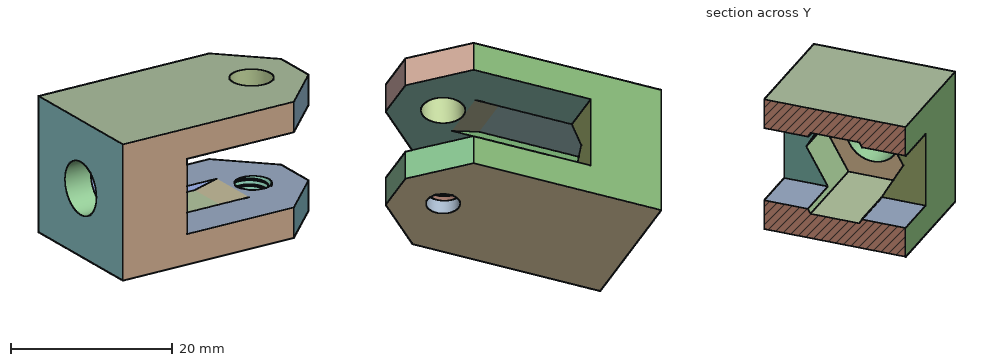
import cadquery as cq
import math

width = 19.05
length = 31.85
height = 18.28
corner_cut = 6.43
arm_thickness = 4.1
base_length = 9.55
slot_height = height - 2 * arm_thickness

bore_diameter = 7.1
hex_across_flats = 11.3
hex_start = 3.82
hex_end = 19.1
taper_end = 22.65

pin_y = length - corner_cut
clearance_diameter = 5.5
thread_minor_diameter = 4.25
thread_major_diameter = 5.13
thread_pitch = 0.8
turns_in_arm = 3
turns_above_arm = 1
groove_half_width = 0.46 * thread_pitch
thread_overlap = 0.048


def fork_body():
    """Block with two cut corners at the open end and a slot across X."""
    block = cq.Workplane("XY").box(width, length, height, centered=(True, False, True))
    block = block.faces(">Y").edges("|Z").chamfer(corner_cut)
    slot = (
        cq.Workplane("XY")
        .box(width, length - base_length, slot_height, centered=(True, False, True))
        .translate((0, base_length, 0))
    )
    return block.cut(slot)


def shank_bore():
    return cq.Workplane("XZ").circle(bore_diameter / 2).extrude(-base_length)


def hex_cavity():
    """Hexagonal prism along Y, with its top and bottom sloping into the slot at the far end."""
    across_corners = hex_across_flats / math.cos(math.pi / 6)
    prism = (
        cq.Workplane("XZ", origin=(0, hex_start, 0))
        .polygon(6, across_corners)
        .extrude(hex_start - taper_end)
    )
    side_profile = (
        cq.Workplane("YZ")
        .polyline([
            (hex_start, -hex_across_flats / 2),
            (hex_end, -hex_across_flats / 2),
            (taper_end, -slot_height / 2),
            (taper_end, slot_height / 2),
            (hex_end, hex_across_flats / 2),
            (hex_start, hex_across_flats / 2),
        ])
        .close()
        .extrude(across_corners / 2, both=True)
    )
    return prism.intersect(side_profile)


def clearance_hole():
    return (
        cq.Workplane("XY", origin=(0, pin_y, 0))
        .circle(clearance_diameter / 2)
        .extrude(height / 2)
    )


def tap_drill_hole():
    return (
        cq.Workplane("XY", origin=(0, pin_y, -height / 2))
        .circle(thread_minor_diameter / 2)
        .extrude(height / 2)
    )


def thread_groove():
    """Right-handed V groove in the upper part of the tapped hole, starting on its +Y side."""
    inner_radius = thread_minor_diameter / 2 - thread_overlap
    helix = cq.Wire.makeHelix(
        thread_pitch, (turns_in_arm + turns_above_arm) * thread_pitch, inner_radius
    )
    groove = (
        cq.Workplane("XZ")
        .polyline([
            (inner_radius, -groove_half_width),
            (thread_major_diameter / 2, 0),
            (inner_radius, groove_half_width),
        ])
        .close()
        .sweep(cq.Workplane(obj=helix), isFrenet=True)
    )
    start_z = -slot_height / 2 - turns_in_arm * thread_pitch
    return groove.rotate((0, 0, 0), (0, 0, 1), 90).translate((0, pin_y, start_z))


result = (
    fork_body()
    .cut(shank_bore())
    .cut(hex_cavity())
    .cut(clearance_hole())
    .cut(tap_drill_hole())
    .cut(thread_groove())
)